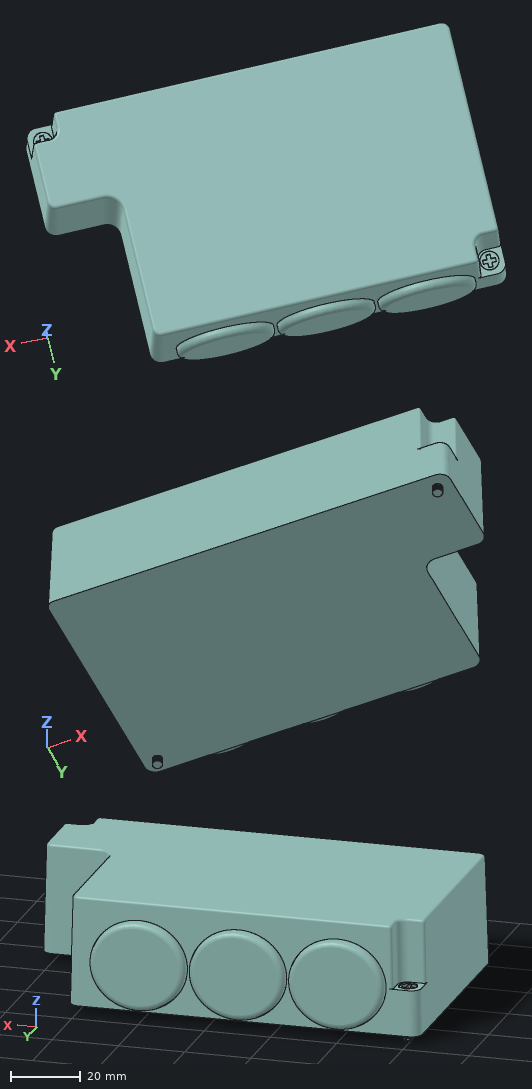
import cadquery as cq
import math

length = 127.23
overall_depth = 76.35
overall_height = 35.6
draft = 1.5
lean = math.tan(math.radians(draft))

cap_projection = 2.7
stud_projection = 2.4
depth = overall_depth - cap_projection
height = overall_height - stud_projection
wide_length = 106.3
narrow_depth = 30.0
corner_radius = 3.4
plain_corner_radius = 2.6
inner_corner_radius = 4.0
top_fillet = 1.0

pocket_floor = 14.0
pocket_mid_z = (pocket_floor + height) / 2
pocket_size = 8.1
pocket_inner_radius = 3.0
pocket_edge_fillet = 1.0
pocket_overhang = 5.0

screw_inset = 4.75
head_diameter = 5.5
head_recess = 0.4
cross_length = 3.8
cross_width = 1.2
cross_depth = 1.0
stud_diameter = 3.0
thread_pitch = 0.5
thread_depth = 0.3

cap_width = 29.0
cap_height = 27.0
cap_thickness = 3.0
cap_fillet = 1.7
cap_count = 3
cap_pitch = 30.0
first_cap_x = 24.6
cap_center_z = 14.3

screw_points = [
    (screw_inset, depth - screw_inset),
    (length - screw_inset, screw_inset),
]


def make_housing():
    """Drafted L-shaped block with rounded vertical corners."""
    outline_points = [
        (0, 0),
        (length, 0),
        (length, narrow_depth),
        (wide_length, narrow_depth),
        (wide_length, depth),
        (0, depth),
    ]
    plain_corner, *rounded_corners = outline_points
    outline = cq.Sketch().polygon([*outline_points, plain_corner])
    for corner in rounded_corners:
        is_inner = corner == (wide_length, narrow_depth)
        radius = inner_corner_radius if is_inner else corner_radius
        outline = outline.vertices(cq.NearestToPointSelector(corner)).fillet(radius).reset()
    housing = cq.Workplane("XY").placeSketch(outline).extrude(height, taper=draft)
    plain_edge = cq.NearestToPointSelector((*plain_corner, height / 2))
    return housing.edges(plain_edge).fillet(plain_corner_radius)


def make_pocket_cutter():
    """Pocket at the (+X, -Y) corner, its walls leaning outwards."""
    pocket_height = height - pocket_floor
    wall_top = pocket_size + pocket_height * lean
    side = wall_top + pocket_overhang
    center = (length - wall_top + side / 2, wall_top - side / 2)
    cutter = (
        cq.Workplane("XY", origin=(*center, height))
        .rect(side, side)
        .extrude(-pocket_height, taper=draft)
    )
    inner_corner = (length - pocket_size, pocket_size)
    inner_edge = cq.NearestToPointSelector((*inner_corner, pocket_mid_z))
    return cutter.edges(inner_edge).fillet(pocket_inner_radius)


def opposite_corner(shape):
    """Carry a shape from the (+X, -Y) corner to the (-X, +Y) corner."""
    middle = (length / 2, depth / 2)
    return shape.rotate((*middle, 0), (*middle, 1), 180)


def pocket_exit_edges():
    """Points on the edges where pocket walls meet the side walls."""
    wall = pocket_size + (pocket_mid_z - pocket_floor) * lean
    inset = pocket_mid_z * lean
    return [
        (length - wall, inset, pocket_mid_z),
        (length - inset, wall, pocket_mid_z),
        (wall, depth - inset, pocket_mid_z),
        (inset, depth - wall, pocket_mid_z),
    ]


def make_stud(point):
    """Threaded screw end, its thread made of plain V grooves."""
    outer_radius = stud_diameter / 2
    root_radius = outer_radius - thread_depth
    stud = cq.Workplane("XY", origin=(*point, 0)).circle(outer_radius).extrude(-stud_projection)
    groove = (
        cq.Workplane("XZ", origin=(*point, 0))
        .moveTo(outer_radius, -thread_pitch)
        .lineTo(root_radius, -thread_pitch / 2)
        .lineTo(outer_radius, 0)
        .close()
        .revolve(360, (0, 0, 0), (0, 1, 0))
    )
    for turn in range(math.floor(stud_projection / thread_pitch)):
        stud = stud.cut(groove.translate((0, 0, -turn * thread_pitch)))
    return stud


def make_screw_recess(point):
    """Shallow round recess over the screw head, with its cross slots."""
    head_z = pocket_floor - head_recess
    recess = cq.Workplane("XY", origin=(*point, head_z)).circle(head_diameter / 2).extrude(head_recess)
    for slot_size in [(cross_length, cross_width), (cross_width, cross_length)]:
        slot = cq.Workplane("XY", origin=(*point, head_z)).rect(*slot_size).extrude(-cross_depth)
        recess = recess.union(slot)
    return recess


def make_cap(x):
    """Oval cap with a rounded rim; the leaning wall passes through its back."""
    return (
        cq.Workplane("XZ", origin=(x, overall_depth, cap_center_z))
        .ellipse(cap_width / 2, cap_height / 2)
        .extrude(cap_thickness)
        .faces(">Y")
        .edges()
        .fillet(cap_fillet)
    )


housing = make_housing()
pocket = make_pocket_cutter()
housing = housing.cut(pocket).cut(opposite_corner(pocket))
for edge_point in pocket_exit_edges():
    housing = housing.edges(cq.NearestToPointSelector(edge_point)).fillet(pocket_edge_fillet)
housing = housing.faces(">Z").edges().fillet(top_fillet)

for screw_point in screw_points:
    housing = housing.cut(make_screw_recess(screw_point))
    housing = housing.union(make_stud(screw_point))

for index in range(cap_count):
    housing = housing.union(make_cap(first_cap_x + index * cap_pitch))

result = housing